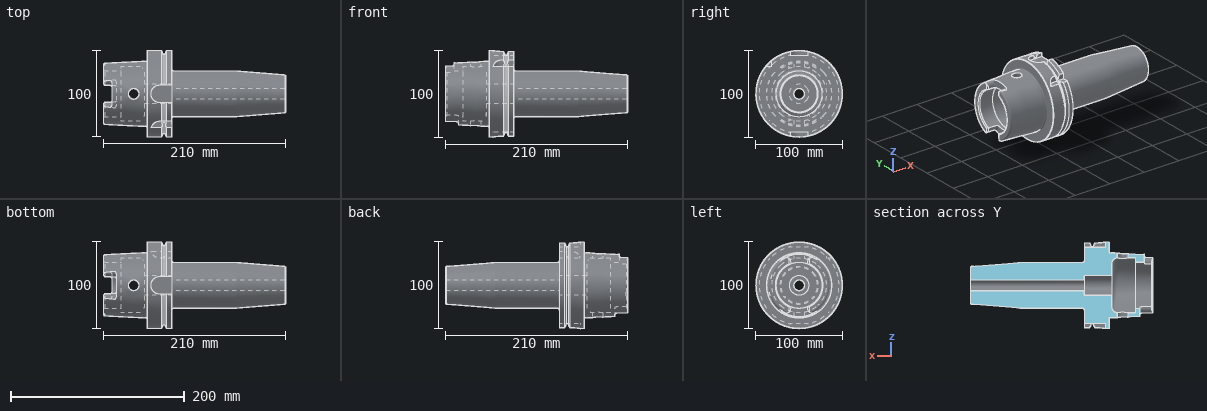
import cadquery as cq
import math

TOTAL_LENGTH = 210.0
FLANGE_FRONT_X = 50.0
FLANGE_REAR_X = 79.0
FLANGE_DIAMETER = 100.0
FLANGE_EDGE_CHAMFER = 0.52

TAPER_DIAMETER = 75.4
TAPER_END_X = 47.5
TAPER_RATIO = 0.1
NOSE_ROUND = 1.9
UNDERCUT_DIAMETER = 74.8
FLANGE_ROOT_FILLET = 1.3

GROOVE_CENTRE_X = 69.7
GROOVE_DIAMETER = 91.5
GROOVE_MOUTH_WIDTH = 6.0
GROOVE_KNEE_WIDTH = 3.4
GROOVE_FLOOR_WIDTH = 2.3
GROOVE_KNEE_DIAMETER = 95.3

NECK_DIAMETER = 53.0
NECK_FILLET = 2.0
NECK_CONE_X = 152.7
NECK_CONE_ANGLE = 4.5
END_CHAMFER = 1.0

BORE_DIAMETER = 53.0
BORE_LIP_DIAMETER = 54.8
BORE_LIP_DEPTH = 1.7
BORE_LENGTH = 20.2
RECESS_DIAMETER = 63.0
BORE_FLOOR_DIAMETER = 50.0
BORE_FLOOR_X = 47.0
COOLANT_TUBE_DIAMETER = 22.5
COOLANT_TUBE_END_X = FLANGE_REAR_X
COOLANT_DIAMETER = 12.0

ACCESS_HOLE_X = 34.9
ACCESS_HOLE_DIAMETER = 12.0

NOTCH_WIDTH = 19.3
NOTCH_SHOULDER_Z = 32.1
NOTCH_EDGE_ROUND = 5.5
NOTCH_END_FILLET = 2.3
TOP_NOTCH_DEPTH = 9.9
BOTTOM_NOTCH_DEPTH = 15.0
MOUTH_CHAMFER_WIDTH = 2.0
MOUTH_CHAMFER_DEPTH = 1.5

KEYWAY_WIDTH = 20.0
KEYWAY_START_X = 54.5
KEYWAY_FLOOR_Z = 44.0
CORNER_KEYWAY_WALL_Y = -31.5
CORNER_KEYWAY_FLOOR_Z = 31.5

CLEARANCE = 10.5

ARC_MIDPOINT = math.sqrt(0.5)


def revolved_body():
    taper_radius = TAPER_DIAMETER / 2
    nose_radius = taper_radius - TAPER_RATIO * TAPER_END_X / 2
    undercut_radius = UNDERCUT_DIAMETER / 2
    flange_radius = FLANGE_DIAMETER / 2
    edge_radius = flange_radius - FLANGE_EDGE_CHAMFER
    knee_radius = GROOVE_KNEE_DIAMETER / 2
    groove_radius = GROOVE_DIAMETER / 2
    neck_radius = NECK_DIAMETER / 2
    tip_radius = neck_radius - (TOTAL_LENGTH - NECK_CONE_X) * math.tan(math.radians(NECK_CONE_ANGLE))
    corner = 1 - ARC_MIDPOINT

    root = FLANGE_ROOT_FILLET
    root_mid = (FLANGE_FRONT_X - root * corner, undercut_radius + root * corner)
    nose_mid = (NOSE_ROUND * corner, nose_radius - NOSE_ROUND * corner)
    neck_mid = (FLANGE_REAR_X + NECK_FILLET * corner, neck_radius + NECK_FILLET * corner)

    profile = (
        cq.Workplane("XY")
        .moveTo(0, 0)
        .lineTo(0, nose_radius - NOSE_ROUND)
        .threePointArc(nose_mid, (NOSE_ROUND, nose_radius + TAPER_RATIO * NOSE_ROUND / 2))
        .lineTo(TAPER_END_X, taper_radius)
        .lineTo(FLANGE_FRONT_X - root, undercut_radius)
        .threePointArc(root_mid, (FLANGE_FRONT_X, undercut_radius + root))
        .lineTo(FLANGE_FRONT_X, edge_radius)
        .lineTo(FLANGE_FRONT_X + FLANGE_EDGE_CHAMFER, flange_radius)
        .lineTo(GROOVE_CENTRE_X - GROOVE_MOUTH_WIDTH / 2, flange_radius)
        .lineTo(GROOVE_CENTRE_X - GROOVE_KNEE_WIDTH / 2, knee_radius)
        .lineTo(GROOVE_CENTRE_X - GROOVE_FLOOR_WIDTH / 2, groove_radius)
        .lineTo(GROOVE_CENTRE_X + GROOVE_FLOOR_WIDTH / 2, groove_radius)
        .lineTo(GROOVE_CENTRE_X + GROOVE_KNEE_WIDTH / 2, knee_radius)
        .lineTo(GROOVE_CENTRE_X + GROOVE_MOUTH_WIDTH / 2, flange_radius)
        .lineTo(FLANGE_REAR_X - FLANGE_EDGE_CHAMFER, flange_radius)
        .lineTo(FLANGE_REAR_X, edge_radius)
        .lineTo(FLANGE_REAR_X, neck_radius + NECK_FILLET)
        .threePointArc(neck_mid, (FLANGE_REAR_X + NECK_FILLET, neck_radius))
        .lineTo(NECK_CONE_X, neck_radius)
        .lineTo(TOTAL_LENGTH - END_CHAMFER, tip_radius)
        .lineTo(TOTAL_LENGTH, tip_radius - END_CHAMFER)
        .lineTo(TOTAL_LENGTH, 0)
        .close()
    )
    return profile.revolve(360, (0, 0, 0), (1, 0, 0))


def axial_bore():
    bore_radius = BORE_DIAMETER / 2
    recess_radius = RECESS_DIAMETER / 2
    floor_radius = BORE_FLOOR_DIAMETER / 2
    floor_fillet = recess_radius - floor_radius
    fillet_start_x = BORE_FLOOR_X - floor_fillet
    bend = floor_fillet * ARC_MIDPOINT
    profile = (
        cq.Workplane("XY")
        .moveTo(0, 0)
        .lineTo(0, BORE_LIP_DIAMETER / 2)
        .lineTo(BORE_LIP_DEPTH, bore_radius)
        .lineTo(BORE_LENGTH, bore_radius)
        .lineTo(BORE_LENGTH, recess_radius)
        .lineTo(fillet_start_x, recess_radius)
        .threePointArc((fillet_start_x + bend, floor_radius + bend), (BORE_FLOOR_X, floor_radius))
        .lineTo(BORE_FLOOR_X, COOLANT_TUBE_DIAMETER / 2)
        .lineTo(COOLANT_TUBE_END_X, COOLANT_TUBE_DIAMETER / 2)
        .lineTo(COOLANT_TUBE_END_X, COOLANT_DIAMETER / 2)
        .lineTo(TOTAL_LENGTH, COOLANT_DIAMETER / 2)
        .lineTo(TOTAL_LENGTH, 0)
        .close()
    )
    return profile.revolve(360, (0, 0, 0), (1, 0, 0))


def access_hole():
    hole = cq.Workplane("XY").center(ACCESS_HOLE_X, 0).circle(ACCESS_HOLE_DIAMETER / 2)
    return hole.extrude(FLANGE_DIAMETER / 2, both=True)


def drive_notch(depth):
    """Upward-facing notch whose outer edges are rounded over and whose end corner is filleted."""
    half_width = NOTCH_WIDTH / 2
    outer_y = TAPER_DIAMETER / 2
    shoulder_y = half_width + NOTCH_EDGE_ROUND
    round_base_z = NOTCH_SHOULDER_Z - NOTCH_EDGE_ROUND
    bend = NOTCH_EDGE_ROUND * ARC_MIDPOINT
    arc_mid_y = shoulder_y - bend
    arc_mid_z = round_base_z + bend

    notch = (
        cq.Workplane("YZ", origin=(-CLEARANCE, 0, 0))
        .moveTo(-half_width, 0)
        .lineTo(half_width, 0)
        .lineTo(half_width, round_base_z)
        .threePointArc((arc_mid_y, arc_mid_z), (shoulder_y, NOTCH_SHOULDER_Z))
        .lineTo(outer_y, NOTCH_SHOULDER_Z)
        .lineTo(outer_y, FLANGE_DIAMETER / 2)
        .lineTo(-outer_y, FLANGE_DIAMETER / 2)
        .lineTo(-outer_y, NOTCH_SHOULDER_Z)
        .lineTo(-shoulder_y, NOTCH_SHOULDER_Z)
        .threePointArc((-arc_mid_y, arc_mid_z), (-half_width, round_base_z))
        .close()
        .extrude(CLEARANCE + depth)
        .faces(">X")
        .edges()
        .fillet(NOTCH_END_FILLET)
    )
    mouth = (
        cq.Workplane("XY")
        .moveTo(0, half_width + MOUTH_CHAMFER_WIDTH)
        .lineTo(MOUTH_CHAMFER_DEPTH, half_width)
        .lineTo(MOUTH_CHAMFER_DEPTH, -half_width)
        .lineTo(0, -half_width - MOUTH_CHAMFER_WIDTH)
        .close()
        .extrude(NOTCH_SHOULDER_Z)
    )
    return notch.union(mouth)


def keyway(centre_y, floor_z):
    """Round-ended slot, open at the rear of the flange, cut down to floor_z."""
    radius = KEYWAY_WIDTH / 2
    length = FLANGE_REAR_X - KEYWAY_START_X - radius
    height = FLANGE_DIAMETER / 2 - floor_z + CLEARANCE
    plane = cq.Workplane("XY", origin=(KEYWAY_START_X + radius, centre_y, floor_z))
    round_end = plane.circle(radius).extrude(height)
    straight = plane.rect(2 * length, KEYWAY_WIDTH).extrude(height)
    front_half = plane.center(-radius, 0).rect(2 * radius, KEYWAY_WIDTH).extrude(height)
    return straight.cut(front_half).union(round_end)


def underside(cutter):
    return cutter.rotate((0, 0, 0), (1, 0, 0), 180)


result = (
    revolved_body()
    .cut(axial_bore())
    .cut(access_hole())
    .cut(drive_notch(TOP_NOTCH_DEPTH))
    .cut(underside(drive_notch(BOTTOM_NOTCH_DEPTH)))
    .cut(keyway(0, KEYWAY_FLOOR_Z))
    .cut(underside(keyway(0, KEYWAY_FLOOR_Z)))
    .cut(keyway(CORNER_KEYWAY_WALL_Y - KEYWAY_WIDTH / 2, CORNER_KEYWAY_FLOOR_Z))
)